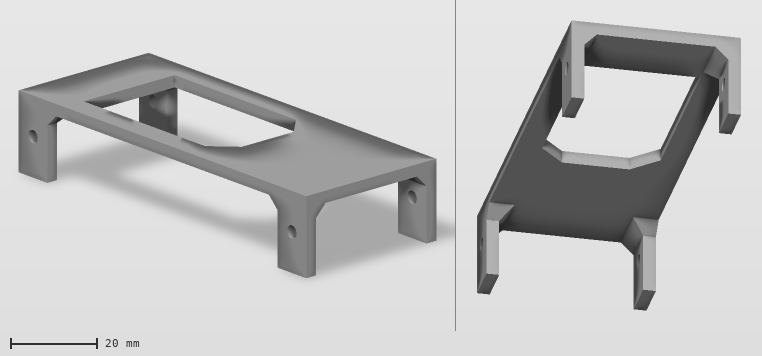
import cadquery as cq

length = 100.0
width = 40.0
height = 20.0

thickness = 3.0
leg_length = 10.0
inner_chamfer = 3.0

window_length = 48.2
window_width = 28.0
window_offset = 15.8
window_chamfer = 6.0

hole_diameter = 3.2
hole_end_distance = leg_length / 2
hole_height = height / 2


def tunnel(plane, span, depth):
    """Opening below the plate, with chamfered upper corners, running along the plane's normal."""
    opening_height = height - thickness
    half = span / 2
    outline = [
        (-half, 0),
        (-half, opening_height - inner_chamfer),
        (-half + inner_chamfer, opening_height),
        (half - inner_chamfer, opening_height),
        (half, opening_height - inner_chamfer),
        (half, 0),
    ]
    return cq.Workplane(plane).polyline(outline).close().extrude(depth / 2, both=True)


def window():
    """Window cutter reaching through the full height."""
    center_x = -length / 2 + window_offset + window_length / 2
    return (
        cq.Workplane("XY")
        .center(center_x, 0)
        .rect(window_length, window_width)
        .extrude(height)
        .edges("|Z and >X")
        .chamfer(window_chamfer)
    )


def leg_holes():
    """Two cross holes, each passing through the pair of legs at one end."""
    hole_x = length / 2 - hole_end_distance
    return (
        cq.Workplane("XZ")
        .pushPoints([(-hole_x, hole_height), (hole_x, hole_height)])
        .circle(hole_diameter / 2)
        .extrude(width / 2, both=True)
    )


body = cq.Workplane("XY").box(length, width, height, centered=(True, True, False))

lengthwise_tunnel = tunnel("YZ", width - 2 * thickness, length)
crosswise_tunnel = tunnel("XZ", length - 2 * leg_length, width)

result = body.cut(lengthwise_tunnel).cut(crosswise_tunnel).cut(window()).cut(leg_holes())